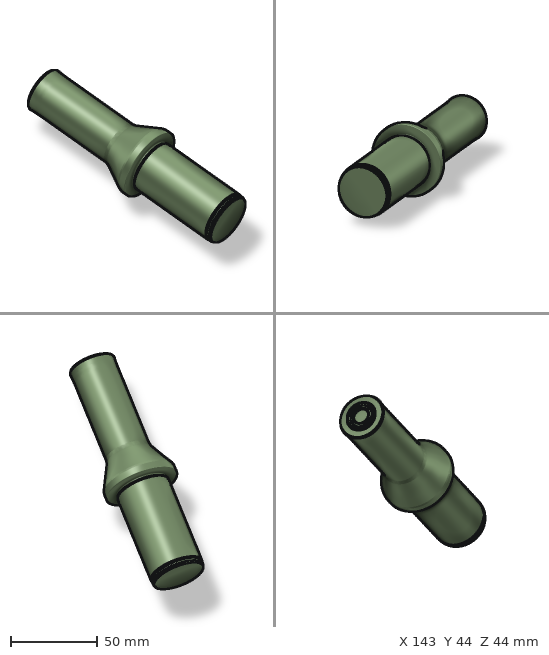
import cadquery as cq

insert_front_x = 0.0
front_face_x = 0.9
front_chamfer_end_x = 1.7
front_land_end_x = 5.9
front_taper_end_x = 9.6
cone_start_x = 61.0
cone_end_x = 78.0
collar_back_x = 82.8
relief_end_x = 84.2
shank_start_x = 85.0
shank_end_x = 139.1
end_groove_x = 139.5
end_band_start_x = 140.0
back_face_x = 143.0

front_diameter = 27.0
front_land_diameter = 27.7
front_land_end_diameter = 27.2
collar_diameter = 44.0
relief_diameter = 31.5
shank_diameter = 32.0
end_groove_diameter = 30.9

front_face_chamfer = 0.5
cone_root_fillet = 6.0
cone_rim_fillet = 2.9
collar_back_fillet = 0.5
relief_fillet = 0.6
back_chamfer_length = 1.3
back_chamfer_depth = 0.5

insert_diameter = 18.0
insert_seat_depth = 1.5
insert_rim_chamfer = 0.3
groove_outer_diameter = 16.3
groove_bottom_diameter = 13.5
groove_inner_diameter = 10.3
groove_depth = 0.3
recess_chamfer = 0.3
recess_floor_diameter = 9.2
recess_depth = 0.7

seat_floor_x = front_face_x + insert_seat_depth


def revolve_about_x(points):
    """Revolve a closed half profile of (x, radius) points about the X axis."""
    return cq.Workplane("XY").polyline(points).close().revolve(360, (0, 0, 0), (1, 0, 0))


def fillet_circle(body, x, radius, circle_diameter):
    """Round the circular edge of the given diameter centred on the axis at x."""
    tolerance = 0.01
    circles = [
        edge for edge in body.edges("%CIRCLE").vals()
        if abs(edge.Center().x - x) < tolerance
        and abs(edge.radius() - circle_diameter / 2) < tolerance
    ]
    return body.newObject(circles).fillet(radius)


def make_arbor():
    front_radius = front_diameter / 2
    land_radius = front_land_diameter / 2
    collar_radius = collar_diameter / 2
    relief_radius = relief_diameter / 2
    shank_radius = shank_diameter / 2
    seat_radius = insert_diameter / 2
    body = revolve_about_x([
        (seat_floor_x, 0),
        (seat_floor_x, seat_radius),
        (front_face_x, seat_radius),
        (front_face_x, land_radius - front_face_chamfer),
        (front_chamfer_end_x, land_radius),
        (front_land_end_x, front_land_end_diameter / 2),
        (front_taper_end_x, front_radius),
        (cone_start_x, front_radius),
        (cone_end_x, collar_radius),
        (collar_back_x, collar_radius),
        (collar_back_x, relief_radius),
        (relief_end_x, relief_radius),
        (shank_start_x, shank_radius),
        (shank_end_x, shank_radius),
        (end_groove_x, end_groove_diameter / 2),
        (end_band_start_x, relief_radius),
        (back_face_x - back_chamfer_length, relief_radius),
        (back_face_x, relief_radius - back_chamfer_depth),
        (back_face_x, 0),
    ])
    body = fillet_circle(body, collar_back_x, relief_fillet, relief_diameter)
    body = fillet_circle(body, collar_back_x, collar_back_fillet, collar_diameter)
    body = fillet_circle(body, cone_start_x, cone_root_fillet, front_diameter)
    body = fillet_circle(body, cone_end_x, cone_rim_fillet, collar_diameter)
    return body


def make_insert():
    radius = insert_diameter / 2
    recess_radius = recess_floor_diameter / 2
    recess_floor_x = insert_front_x + recess_depth
    return revolve_about_x([
        (seat_floor_x, 0),
        (seat_floor_x, radius),
        (insert_front_x + insert_rim_chamfer, radius),
        (insert_front_x, groove_outer_diameter / 2),
        (insert_front_x + groove_depth, groove_bottom_diameter / 2),
        (insert_front_x, groove_inner_diameter / 2),
        (insert_front_x + recess_chamfer, recess_radius),
        (recess_floor_x, recess_radius),
        (recess_floor_x, 0),
    ])


arbor = make_arbor()
insert = make_insert()
result = cq.Compound.makeCompound([arbor.val(), insert.val()])